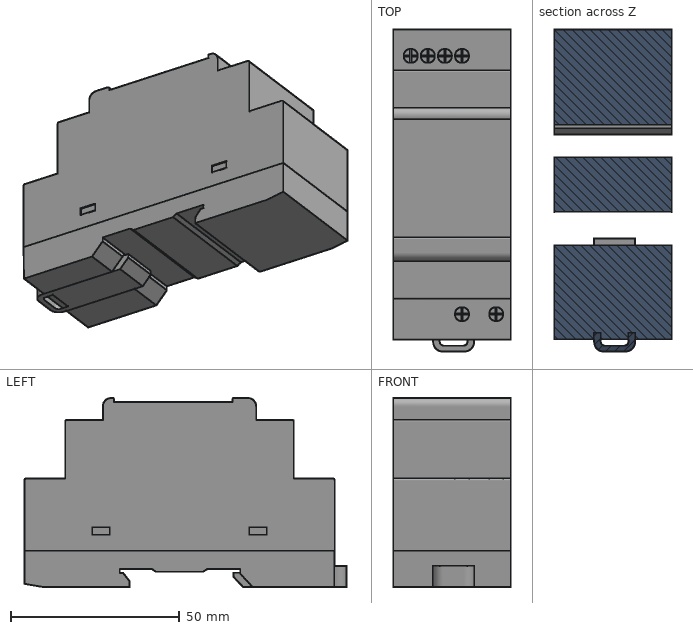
import cadquery as cq

width = 35.0
total_length = 95.8
total_height = 56.2
body_length = 92.2
body_half = body_length / 2
front_tip_y = body_half - total_length

split_z = 10.8
terminal_z = 32.3
shoulder_z = 49.7
panel_z = 55.1
shoulder_half = 34.0
head_half = 22.8
panel_rear_y = 19.4
panel_front_y = -15.7
ridge_radius = 2.5
step_radius = 0.6
ridge_lip_radius = 0.5

window_length = 5.2
window_height = 2.3
window_depth = 0.43
window_y = 23.3
window_z = 16.7

screw_diameter = 4.2
screw_recess = 0.3
screw_slot_width = 0.5
screw_slot_depth = 0.3
screw_pitch = 5.1
first_screw_x = -12.3
rear_screw_y = 38.2
front_screw_y = -38.5
rear_screw_slots = (0, 1, 2, 3)
front_screw_slots = (3, 5)

rail_z = 5.4
rib_z = 4.5
rib_half = 7.0
rib_foot_half = 8.2
hook_tip_y = 14.8
hook_root_y = 17.7
hook_tip_height = 1.8
hook_top_y = 16.8
hook_top_z = 4.2
channel_front_y = -18.0
channel_front_z = 4.0
channel_foot_y = -21.7
rear_lead_in_y = 40.5
rear_lead_in_z = 1.0
front_draft = 0.2

clip_x = 0.5
clip_width = 12.3
nose_tip_y = -16.0
nose_top_z = 4.3
nose_tip_z = 3.1
nose_foot_y = -18.9
loop_height = 6.3
loop_side_wall = 2.0
loop_front_wall = 1.8
loop_outer_radius = 3.0
loop_inner_radius = 1.2
loop_root_y = -44.1


def extrude_across(points, breadth, center_x=0.0):
    """Extrude a closed (Y, Z) outline along X, centred on center_x."""
    plane = cq.Workplane("YZ", origin=(center_x, 0, 0))
    return plane.polyline(points).close().extrude(breadth / 2, both=True)


def edges_at(y, z):
    """Select the edges that run along X through the point (y, z)."""
    reach = width
    margin = 0.05
    return cq.selectors.BoxSelector(
        (-reach, y - margin, z - margin), (reach, y + margin, z + margin)
    )


def make_screw_recess(x, y):
    """Round recess for a screw head, with a deeper cross slot in its floor."""
    recess = cq.Workplane("XY", origin=(x, y, terminal_z - screw_recess))
    pocket = recess.circle(screw_diameter / 2).extrude(screw_recess)
    disc = recess.circle(screw_diameter / 2).extrude(-screw_slot_depth)
    bar_x = recess.rect(screw_diameter, screw_slot_width).extrude(-screw_slot_depth)
    bar_y = recess.rect(screw_slot_width, screw_diameter).extrude(-screw_slot_depth)
    return pocket.union(bar_x.union(bar_y).intersect(disc))


def make_cover():
    outline = [
        (body_half, split_z),
        (body_half, terminal_z),
        (shoulder_half, terminal_z),
        (shoulder_half, shoulder_z),
        (head_half, shoulder_z),
        (head_half, total_height),
        (panel_rear_y, total_height),
        (panel_rear_y, panel_z),
        (panel_front_y, panel_z),
        (panel_front_y, total_height),
        (-head_half, total_height),
        (-head_half, shoulder_z),
        (-shoulder_half, shoulder_z),
        (-shoulder_half, terminal_z),
        (-body_half, terminal_z),
        (-body_half, split_z),
    ]
    cover = extrude_across(outline, width)

    for side in (-1, 1):
        cover = cover.edges(edges_at(side * head_half, total_height)).fillet(ridge_radius)
        cover = cover.edges(edges_at(side * shoulder_half, shoulder_z)).fillet(step_radius)
        cover = cover.edges(edges_at(side * body_half, terminal_z)).fillet(step_radius)

    for y in (panel_rear_y, panel_front_y):
        cover = cover.edges(edges_at(y, total_height)).fillet(ridge_lip_radius)

    for side_x in (-width / 2, width / 2):
        for y in (-window_y, window_y):
            window = cq.Workplane("XY", origin=(side_x, y, window_z)).box(
                2 * window_depth, window_length, window_height
            )
            cover = cover.cut(window)

    for y, slots in ((rear_screw_y, rear_screw_slots), (front_screw_y, front_screw_slots)):
        for slot in slots:
            cover = cover.cut(make_screw_recess(first_screw_x + slot * screw_pitch, y))
    return cover


def make_clip():
    """Rail clip: a sloping nose, an arm under the base and a pull loop at the front."""
    arm = extrude_across(
        [
            (nose_tip_y, nose_top_z),
            (nose_tip_y, nose_tip_z),
            (nose_foot_y, 0),
            (loop_root_y, 0),
            (loop_root_y, nose_top_z),
        ],
        clip_width,
        clip_x,
    )

    loop_length = loop_root_y - front_tip_y
    loop_center_y = (loop_root_y + front_tip_y) / 2
    loop = (
        cq.Workplane("XY", origin=(clip_x, loop_center_y, 0))
        .rect(clip_width, loop_length)
        .extrude(loop_height)
        .edges("|Z and <Y")
        .fillet(loop_outer_radius)
    )
    opening = (
        cq.Workplane("XY", origin=(clip_x, loop_center_y + loop_front_wall, 0))
        .rect(clip_width - 2 * loop_side_wall, loop_length)
        .extrude(loop_height)
        .edges("|Z and <Y")
        .fillet(loop_inner_radius)
    )
    return loop.cut(opening).union(arm)


def make_base(clip):
    outline = [
        (body_half, split_z),
        (body_half, rear_lead_in_z),
        (rear_lead_in_y, 0),
        (hook_tip_y, 0),
        (hook_tip_y, hook_tip_height),
        (hook_top_y, hook_top_z),
        (hook_root_y, hook_top_z),
        (hook_root_y, rail_z),
        (rib_foot_half, rail_z),
        (rib_half, rib_z),
        (-rib_half, rib_z),
        (-rib_foot_half, rail_z),
        (channel_front_y, rail_z),
        (channel_front_y, channel_front_z),
        (channel_foot_y, 0),
        (front_draft - body_half, 0),
        (-body_half, split_z),
    ]
    return extrude_across(outline, width).cut(clip)


clip = make_clip()
base = make_base(clip)
cover = make_cover()

result = cq.Compound.makeCompound([cover.val(), base.val(), clip.val()])